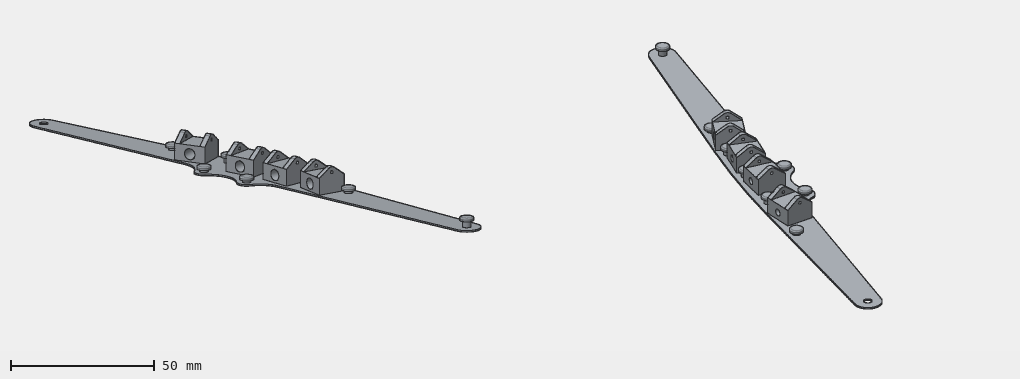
import cadquery as cq
import math

plate_thickness = 0.6
end_radius = 5.0
end_x = 98.0
end_hole_diameter = 3.0
rear_peak_y = 9.92
rear_arc_radius = 430.0

lobe_radius = 3.5
lobe_y = -8.5
lobe_middle_x = -6.4
lobe_offset = 9.9
valley_radius = 10.0
left_flank_radius = 10.0
right_flank_radius = 9.0

stem_diameter = 3.0
head_diameter = 5.0
head_thickness = 1.2
head_fillet = 0.5
low_rivet_top = 2.8
high_rivet_top = 3.8
end_rivet_top = 4.2

low_rivets = [
    (-42.6, 5.0),
    (38.8, 5.0),
    (lobe_middle_x - lobe_offset, lobe_y),
    (lobe_middle_x + lobe_offset, lobe_y),
]
high_rivets = [(-17.7, 5.8), (3.5, 6.0), (21.0, 5.8)]
end_rivets = [(end_x, 0.0)]

bracket_width = 11.8
bracket_length = 10.5
bracket_shoulder_z = 6.7
cheek_thickness = 2.0
cheek_top_z = 10.1
cheek_tip_radius = 2.0
bore_diameter = 2.5
counterbore_diameter = 4.0
counterbore_depth = 8.0
bore_z = 3.4
axle_hole_diameter = 1.0

brackets = [
    (-29.2, 2.2, 15.0),
    (-5.0, 2.3, 5.0),
    (12.1, 2.3, -5.0),
    (29.2, 2.2, -15.0),
]


def toward(start, target, distance):
    """Point at a distance from start in the direction of target."""
    dx = target[0] - start[0]
    dy = target[1] - start[1]
    scale = distance / math.hypot(dx, dy)
    return (start[0] + dx * scale, start[1] + dy * scale)


def make_plate():
    arc_centre_y = rear_peak_y - rear_arc_radius
    centre_distance = math.hypot(end_x, arc_centre_y)
    tilt = math.atan2(end_x, -arc_centre_y)
    tilt -= math.acos((rear_arc_radius - end_radius) / centre_distance)
    rear_arc_x = rear_arc_radius * math.sin(tilt)
    rear_arc_y = arc_centre_y + rear_arc_radius * math.cos(tilt)
    end_tangent_x = end_x + end_radius * math.sin(tilt)
    end_tangent_y = end_radius * math.cos(tilt)

    front_y = -end_radius

    valley_depth = math.sqrt((valley_radius + lobe_radius) ** 2 - lobe_offset**2)
    valley_centre = (lobe_middle_x, lobe_y - valley_depth)
    valley_top = (lobe_middle_x, valley_centre[1] + valley_radius)

    def lobe_points(side, flank_radius):
        flank_centre_y = front_y - flank_radius
        flank_reach = math.sqrt((flank_radius + lobe_radius) ** 2 - (flank_centre_y - lobe_y) ** 2)
        lobe = (lobe_middle_x + side * lobe_offset, lobe_y)
        flank = (lobe[0] + side * flank_reach, flank_centre_y)
        flank_start = (flank[0], front_y)
        outer = toward(lobe, flank, lobe_radius)
        chord_middle = ((flank_start[0] + outer[0]) / 2, (flank_start[1] + outer[1]) / 2)
        flank_middle = toward(flank, chord_middle, flank_radius)
        bottom = (lobe[0], lobe_y - lobe_radius)
        inner = toward(lobe, valley_centre, lobe_radius)
        return flank_start, flank_middle, outer, bottom, inner

    left_start, left_middle, left_outer, left_bottom, left_inner = lobe_points(-1, left_flank_radius)
    right_start, right_middle, right_outer, right_bottom, right_inner = lobe_points(1, right_flank_radius)

    outline = (
        cq.Workplane("XY")
        .moveTo(-end_x, front_y)
        .lineTo(*left_start)
        .threePointArc(left_middle, left_outer)
        .threePointArc(left_bottom, left_inner)
        .threePointArc(valley_top, right_inner)
        .threePointArc(right_bottom, right_outer)
        .threePointArc(right_middle, right_start)
        .lineTo(end_x, front_y)
        .threePointArc((end_x + end_radius, 0), (end_tangent_x, end_tangent_y))
        .lineTo(rear_arc_x, rear_arc_y)
        .threePointArc((0, rear_peak_y), (-rear_arc_x, rear_arc_y))
        .lineTo(-end_tangent_x, end_tangent_y)
        .threePointArc((-end_x - end_radius, 0), (-end_x, front_y))
        .close()
    )
    plate = outline.extrude(plate_thickness)
    end_hole = cq.Workplane("XY").center(-end_x, 0).circle(end_hole_diameter / 2).extrude(plate_thickness)
    return plate.cut(end_hole)


def make_rivets(places, top_z):
    stems = cq.Workplane("XY").pushPoints(places).circle(stem_diameter / 2).extrude(top_z)
    heads = (
        cq.Workplane("XY", origin=(0, 0, top_z - head_thickness))
        .pushPoints(places)
        .circle(head_diameter / 2)
        .extrude(head_thickness)
        .faces(">Z")
        .edges()
        .fillet(head_fillet)
    )
    return stems.union(heads)


def make_bracket():
    half_length = bracket_length / 2
    half_width = bracket_width / 2
    tip_z = cheek_top_z - cheek_tip_radius

    rise = tip_z - bracket_shoulder_z
    tangent_angle = math.acos(cheek_tip_radius / math.hypot(half_length, rise)) - math.atan2(rise, half_length)
    tangent_y = cheek_tip_radius * math.cos(tangent_angle)
    tangent_z = tip_z + cheek_tip_radius * math.sin(tangent_angle)

    body = (
        cq.Workplane("YZ", origin=(-half_width, 0, 0))
        .moveTo(-half_length, 0)
        .lineTo(half_length, 0)
        .lineTo(half_length, bracket_shoulder_z)
        .lineTo(tangent_y, tangent_z)
        .threePointArc((0, cheek_top_z), (-tangent_y, tangent_z))
        .lineTo(-half_length, bracket_shoulder_z)
        .close()
        .extrude(bracket_width)
    )
    gap_height = cheek_top_z - bracket_shoulder_z
    gap = cq.Workplane("XY", origin=(0, 0, bracket_shoulder_z + gap_height / 2)).box(
        bracket_width - 2 * cheek_thickness, bracket_length, gap_height
    )
    front_plane = cq.Workplane("XZ", origin=(0, -half_length, bore_z))
    bore = front_plane.circle(bore_diameter / 2).extrude(-bracket_length)
    counterbore = front_plane.circle(counterbore_diameter / 2).extrude(-counterbore_depth)
    axle_hole = (
        cq.Workplane("YZ", origin=(-half_width, 0, tip_z)).circle(axle_hole_diameter / 2).extrude(bracket_width)
    )
    return body.cut(gap).cut(bore).cut(counterbore).cut(axle_hole)


result = make_plate()
result = result.union(make_rivets(low_rivets, low_rivet_top))
result = result.union(make_rivets(high_rivets, high_rivet_top))
result = result.union(make_rivets(end_rivets, end_rivet_top))
bracket = make_bracket()
for x, y, turn in brackets:
    placed = bracket.rotate((0, 0, 0), (0, 0, 1), turn).translate((x, y, 0))
    result = result.union(placed)